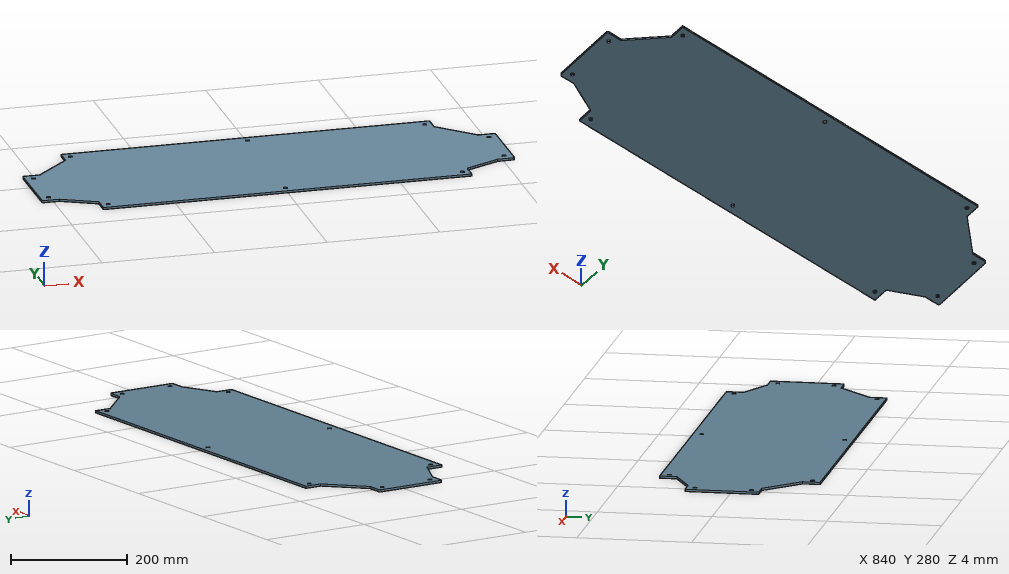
import cadquery as cq

length = 840.0
width = 280.0
thickness = 4.0

notch_length = 92.0
rear_notch_depth = 91.0
front_notch_depth = 60.5
straight_edge = 30.0
tab_corner_radius = 3.0

hole_diameter = 6.6
hole_edge_inset = 15.0
body_hole_end_inset = 13.0

half_length = length / 2
half_width = width / 2
body_half_length = half_length - notch_length
tab_rear = half_width - rear_notch_depth
tab_front = -half_width + front_notch_depth
slant_start = half_length - straight_edge


def make_plate():
    """Wide body with a narrower tab at each end, joined by slanted edges."""
    right_side = [
        (body_half_length, -half_width),
        (body_half_length, -half_width + straight_edge),
        (slant_start, tab_front),
        (half_length, tab_front),
        (half_length, tab_rear),
        (slant_start, tab_rear),
        (body_half_length, half_width - straight_edge),
        (body_half_length, half_width),
    ]
    left_side = [(-x, y) for x, y in reversed(right_side)]
    plate = cq.Workplane("XY").polyline(right_side + left_side).close().extrude(thickness)
    return plate.edges("|Z and (<X or >X)").fillet(tab_corner_radius)


def hole_centers():
    """Three holes along each long edge and two in each end tab."""
    body_x = body_half_length - body_hole_end_inset
    body_y = half_width - hole_edge_inset
    tab_x = half_length - hole_edge_inset
    body_holes = [(x, y) for x in (-body_x, 0, body_x) for y in (-body_y, body_y)]
    tab_holes = [
        (x, y)
        for x in (-tab_x, tab_x)
        for y in (tab_front + hole_edge_inset, tab_rear - hole_edge_inset)
    ]
    return body_holes + tab_holes


result = (
    make_plate()
    .faces(">Z")
    .workplane(origin=(0, 0, thickness))
    .pushPoints(hole_centers())
    .hole(hole_diameter)
)